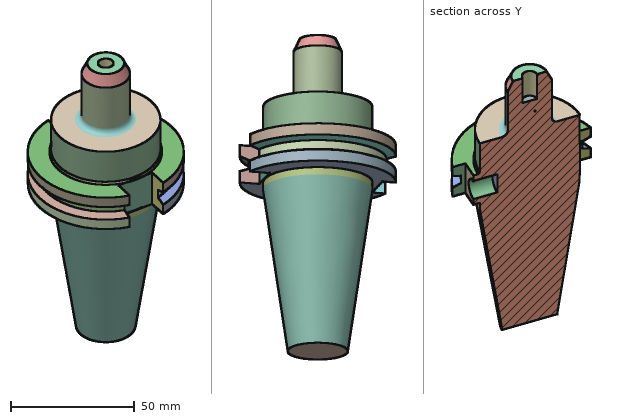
import cadquery as cq

total_height = 131.8
taper_top = 68.2
flange_bottom = 71.4
flange_top = 87.2
boss_top = 103.4
relief_height = 1.0
pin_chamfer_height = 5.1

taper_small_radius = 12.3
body_radius = 22.3
flange_radius = 31.8
groove_radius = 28.0
relief_radius = 22.9
pin_radius = 9.9
pin_tip_radius = 7.5
pin_root_fillet = 2.5

groove_floor_width = 3.7
groove_mouth_width = 6.3

slot_width = 16.2
slot_floor_left = 25.0
slot_floor_right = 22.4

tip_hole_radius = 3.2
tip_hole_depth = 13.2
side_hole_radius = 4.7
side_hole_depth = 10.5

flange_middle = (flange_bottom + flange_top) / 2
flange_height = flange_top - flange_bottom


def turned_body():
    """Revolve the half profile of taper, flange, boss and pin about Z."""
    profile = (
        cq.Workplane("XZ")
        .lineTo(taper_small_radius, 0)
        .lineTo(body_radius, taper_top)
        .lineTo(body_radius, flange_bottom)
        .lineTo(flange_radius, flange_bottom)
        .lineTo(flange_radius, flange_middle - groove_mouth_width / 2)
        .lineTo(groove_radius, flange_middle - groove_floor_width / 2)
        .lineTo(groove_radius, flange_middle + groove_floor_width / 2)
        .lineTo(flange_radius, flange_middle + groove_mouth_width / 2)
        .lineTo(flange_radius, flange_top)
        .lineTo(relief_radius, flange_top)
        .lineTo(body_radius, flange_top + relief_height)
        .lineTo(body_radius, boss_top)
        .lineTo(pin_radius + pin_root_fillet, boss_top)
        .radiusArc((pin_radius, boss_top + pin_root_fillet), pin_root_fillet)
        .lineTo(pin_radius, total_height - pin_chamfer_height)
        .lineTo(pin_tip_radius, total_height)
        .lineTo(0, total_height)
        .close()
    )
    return profile.revolve(360, (0, 0, 0), (0, 1, 0))


def drive_slot(side, floor):
    """Box that cuts one slot through the flange; side is -1 or +1 along X."""
    length = flange_radius
    return cq.Workplane("XY").box(length, slot_width, flange_height).translate(
        (side * (floor + length / 2), 0, flange_middle)
    )


def tip_hole():
    """Blind axial hole in the end of the pin."""
    return (
        cq.Workplane("XY", origin=(0, 0, total_height))
        .circle(tip_hole_radius)
        .extrude(-tip_hole_depth)
    )


def side_hole():
    """Blind radial hole in the floor of the -X slot."""
    return (
        cq.Workplane("YZ", origin=(-slot_floor_left, 0, flange_middle))
        .circle(side_hole_radius)
        .extrude(side_hole_depth)
    )


result = (
    turned_body()
    .cut(drive_slot(-1, slot_floor_left))
    .cut(drive_slot(1, slot_floor_right))
    .cut(tip_hole())
    .cut(side_hole())
)